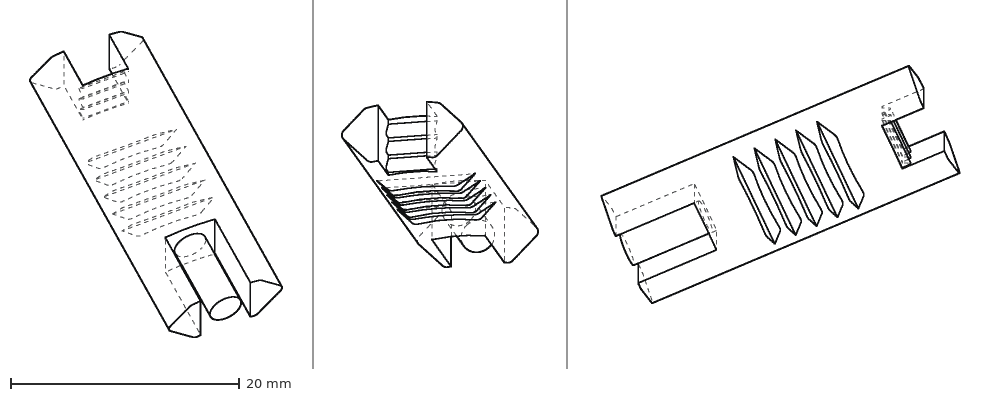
import cadquery as cq
import math

length = 29.5
width = 10.9
height = 5.35
edge_radius = 0.55
nose_height = 2.68
crown_radius = 17.1
hollow_rise = 0.2

tooth_slot_width = 4.37
tooth_root_x = 4.05
tooth_tip_x = 3.22
tooth_tip_radius = 0.2
tooth_count = 3
tooth_pitch = 1.6
tooth_top = 4.78
tooth_height = 1.27

pin_slot_width = 4.78
pin_slot_x = 21.98
pin_diameter = 3.0
pin_height = height / 2

notch_count = 5
notch_pitch = 2.0
notch_start_x = 8.05
notch_ramp = 1.2
notch_undercut = 0.18
notch_depth = 1.45
notch_clearance = 0.3


def box(x_start, x_end, y_size):
    """Full-height cutting block, centred on Y."""
    return (
        cq.Workplane("XY")
        .box(x_end - x_start, y_size, 2 * height, centered=(False, True, True))
        .translate((x_start, 0, height / 2))
    )


def rod(radius, z_centre, x_start, x_end):
    """Cylinder along X on the centre plane."""
    return (
        cq.Workplane("YZ", origin=(x_start, 0, z_centre))
        .circle(radius)
        .extrude(x_end - x_start)
    )


def bar():
    corner = width / 2 + edge_radius * (math.sqrt(2) - 1)
    diamond = (
        cq.Workplane("YZ")
        .polyline([
            (-corner, nose_height),
            (0, nose_height + corner),
            (corner, nose_height),
            (0, nose_height - corner),
        ])
        .close()
        .extrude(length)
    )
    crown = rod(crown_radius, height - crown_radius, 0, length)
    hollow = rod(crown_radius, hollow_rise - crown_radius, 0, length)
    return diamond.intersect(crown).cut(hollow).edges("|X").fillet(edge_radius)


def tooth(z_top):
    """Tooth with a slanted upper side, a rounded tip and a flat underside."""
    z_bottom = z_top - tooth_height
    centre_x = tooth_tip_x + tooth_tip_radius
    centre_z = z_bottom + tooth_tip_radius
    run = tooth_root_x - centre_x
    rise = z_top - centre_z
    tangent_angle = math.atan2(rise, run) + math.acos(tooth_tip_radius / math.hypot(run, rise))
    tangent = (
        centre_x + tooth_tip_radius * math.cos(tangent_angle),
        centre_z + tooth_tip_radius * math.sin(tangent_angle),
    )
    return (
        cq.Workplane("XZ")
        .moveTo(tooth_root_x, z_top)
        .lineTo(*tangent)
        .threePointArc((tooth_tip_x, centre_z), (centre_x, z_bottom))
        .lineTo(tooth_root_x, z_bottom)
        .close()
        .extrude(tooth_slot_width / 2, both=True)
    )


def notch(x_start):
    """Notch with a slanted side, a sharp root and a steep side."""
    root_x = x_start + notch_ramp
    return (
        cq.Workplane("XZ")
        .polyline([
            (x_start, 0),
            (root_x, notch_depth),
            (root_x + notch_undercut, 0),
            (root_x + notch_undercut, -notch_clearance),
            (x_start, -notch_clearance),
        ])
        .close()
        .extrude(width / 2, both=True)
    )


result = bar()
result = result.cut(box(0, tooth_root_x, tooth_slot_width))
result = result.cut(box(pin_slot_x, length, pin_slot_width))

for i in range(tooth_count):
    result = result.union(tooth(tooth_top - i * tooth_pitch))

result = result.union(rod(pin_diameter / 2, pin_height, pin_slot_x, length))

for i in range(notch_count):
    result = result.cut(notch(notch_start_x + i * notch_pitch))